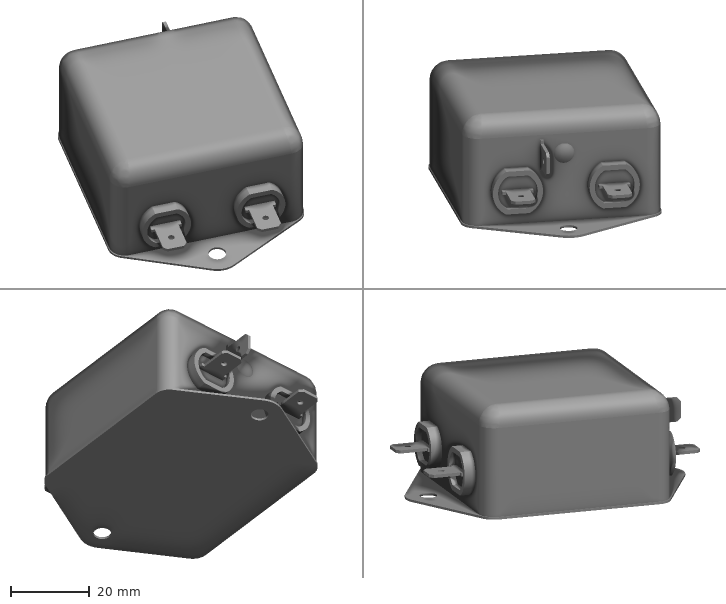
import cadquery as cq
import math

plate_length = 75.0
plate_width = 51.8
plate_thickness = 0.6
ear_radius = 6.0
plate_corner_radius = 4.3
mounting_hole_diameter = 4.5
ear_x = plate_length / 2 - ear_radius

total_height = 29.0
housing_size = 51.2
housing_corner_radius = 4.05
housing_top_radius = 5.0
wall_x = housing_size / 2

collar_diameter = 13.0
collar_flat_height = 11.5
collar_length = 2.9
collar_rim = 1.35
recess_depth = 1.5
collar_y = 12.5
collar_z = 10.0

blade_width = 6.3
blade_length = 8.0
tab_thickness = 0.8
tip_chamfer = 1.0
shoulder_width = 8.0
tab_hole_diameter = 1.65
tab_hole_from_tip = 4.0

ground_shoulder_length = 0.8
ground_y = 5.85
ground_z = 18.75
stud_diameter = 5.25
stud_height = 0.7


def make_base_plate():
    """Flat plate with two rounded ears, outlined by arcs and their common tangents."""
    corner_center = plate_width / 2 - plate_corner_radius
    center_distance = math.hypot(ear_x - corner_center, corner_center)
    center_angle = math.atan2(corner_center, ear_x - corner_center)
    tangent_turn = math.acos((ear_radius - plate_corner_radius) / center_distance)
    normal_angle = math.pi - center_angle - tangent_turn
    corner_mid_angle = (normal_angle + math.pi / 2) / 2

    def on_ear(angle):
        return (ear_x + ear_radius * math.cos(angle), ear_radius * math.sin(angle))

    def on_corner(angle):
        return (
            corner_center + plate_corner_radius * math.cos(angle),
            corner_center + plate_corner_radius * math.sin(angle),
        )

    quarter = (
        cq.Workplane("XY")
        .lineTo(plate_length / 2, 0)
        .threePointArc(on_ear(normal_angle / 2), on_ear(normal_angle))
        .lineTo(*on_corner(normal_angle))
        .threePointArc(on_corner(corner_mid_angle), on_corner(math.pi / 2))
        .lineTo(0, plate_width / 2)
        .close()
        .extrude(plate_thickness)
    )
    half = quarter.union(quarter.mirror("XZ"))
    plate = half.union(half.mirror("YZ")).clean()
    holes = (
        cq.Workplane("XY")
        .pushPoints([(-ear_x, 0), (ear_x, 0)])
        .circle(mounting_hole_diameter / 2)
        .extrude(plate_thickness)
    )
    return plate.cut(holes)


def flatted_disc(diameter, flat_height, start_x, length, y):
    """Disc along +X from start_x, cut flat at its top and bottom."""
    disc = (
        cq.Workplane("YZ", origin=(start_x, y, collar_z))
        .circle(diameter / 2)
        .extrude(length)
    )
    flats = (
        cq.Workplane("YZ", origin=(start_x, y, collar_z))
        .rect(diameter, flat_height)
        .extrude(length)
    )
    return disc.intersect(flats)


def make_housing():
    """Rounded box with a recessed collar for each of the four line terminals."""
    housing = (
        cq.Workplane("XY", origin=(0, 0, plate_thickness))
        .rect(housing_size, housing_size)
        .extrude(total_height - plate_thickness)
        .edges("|Z").fillet(housing_corner_radius)
        .faces(">Z").edges().fillet(housing_top_radius)
    )
    floor_x = wall_x + collar_length - recess_depth
    for y in (-collar_y, collar_y):
        collar = flatted_disc(collar_diameter, collar_flat_height, wall_x, collar_length, y)
        recess = flatted_disc(
            collar_diameter - 2 * collar_rim,
            collar_flat_height - 2 * collar_rim,
            floor_x,
            recess_depth,
            y,
        )
        collar = collar.cut(recess)
        housing = housing.union(collar).union(collar.mirror("YZ"))
    return housing


def make_tab(shoulder_length):
    """Tab lying in the XY plane, with its foot at X = 0 and its tip toward +X."""
    tab_length = shoulder_length + blade_length
    blade = (
        cq.Workplane("XY")
        .box(tab_length, blade_width, tab_thickness, centered=(False, True, True))
        .edges("|Z and >X").chamfer(tip_chamfer)
    )
    shoulder = cq.Workplane("XY").box(
        shoulder_length, shoulder_width, tab_thickness, centered=(False, True, True)
    )
    hole = (
        cq.Workplane("XY", origin=(tab_length - tab_hole_from_tip, 0, -tab_thickness / 2))
        .circle(tab_hole_diameter / 2)
        .extrude(tab_thickness)
    )
    return blade.union(shoulder).cut(hole)


def make_line_terminals():
    """Four flat tabs, each with its shoulder filling the depth of a collar recess."""
    foot_x = wall_x + collar_length - recess_depth
    terminals = []
    for y in (-collar_y, collar_y):
        terminal = make_tab(recess_depth).translate((foot_x, y, collar_z))
        terminals.append(terminal.val())
        terminals.append(terminal.mirror("YZ").val())
    return terminals


def make_ground_terminal():
    """Tab on edge, standing on the -X wall of the housing."""
    upright_tab = make_tab(ground_shoulder_length).rotate((0, 0, 0), (1, 0, 0), 90)
    return upright_tab.mirror("YZ").translate((-wall_x, ground_y, ground_z))


def make_stud():
    """Shallow spherical cap on the -X wall of the housing, revolved about an axis along X."""
    stud_radius = stud_diameter / 2
    sphere_radius = (stud_radius**2 + stud_height**2) / (2 * stud_height)
    half_cap_angle = math.asin(stud_radius / sphere_radius) / 2
    arc_middle = (
        sphere_radius - stud_height - sphere_radius * math.cos(half_cap_angle),
        sphere_radius * math.sin(half_cap_angle),
    )
    return (
        cq.Workplane("XY", origin=(-wall_x, 0, ground_z))
        .lineTo(0, stud_radius)
        .threePointArc(arc_middle, (-stud_height, 0))
        .close()
        .revolve(360, (0, 0), (1, 0))
    )


base_plate = make_base_plate()
housing = make_housing()
line_terminals = make_line_terminals()
ground_terminal = make_ground_terminal()
stud = make_stud()

result = cq.Compound.makeCompound(
    [base_plate.val(), housing.val(), *line_terminals, ground_terminal.val(), stud.val()]
)